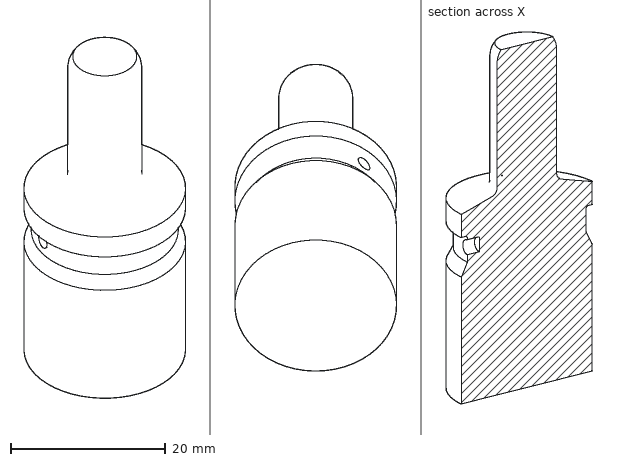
import cadquery as cq
import math

total_height = 47.7
body_radius = 10.5
body_height = 17.6
neck_radius = 9.55
neck_bottom = 19.45
neck_fillet = 0.3
collar_bottom = 23.05
collar_top = 26.3
shoulder_angle = math.radians(16)
shank_radius = 4.8
shoulder_fillet = 0.95
tip_radius = 4.15
tip_height = 1.75
dimple_diameter = 2.0
dimple_height = 21.5
dimple_depth = 1.9

fillet_center_r = shank_radius + shoulder_fillet
fillet_start_r = fillet_center_r - shoulder_fillet * math.sin(shoulder_angle)
fillet_start_z = collar_top + (body_radius - fillet_start_r) * math.tan(shoulder_angle)
fillet_center_z = fillet_start_z + shoulder_fillet * math.cos(shoulder_angle)


def turned_body():
    """Half profile in the XZ plane, revolved about Z."""
    mid_angle = (math.pi / 2 + shoulder_angle) / 2
    fillet_middle = (
        fillet_center_r - shoulder_fillet * math.sin(mid_angle),
        fillet_center_z - shoulder_fillet * math.cos(mid_angle),
    )
    profile = (
        cq.Workplane("XZ")
        .lineTo(body_radius, 0)
        .lineTo(body_radius, body_height)
        .lineTo(neck_radius, neck_bottom)
        .lineTo(neck_radius, collar_bottom - neck_fillet)
        .radiusArc((neck_radius + neck_fillet, collar_bottom), neck_fillet)
        .lineTo(body_radius, collar_bottom)
        .lineTo(body_radius, collar_top)
        .lineTo(fillet_start_r, fillet_start_z)
        .threePointArc(fillet_middle, (shank_radius, fillet_center_z))
        .lineTo(shank_radius, total_height - tip_height)
        .tangentArcPoint((tip_radius, total_height), relative=False)
        .lineTo(0, total_height)
        .close()
    )
    return profile.revolve(360, (0, 0, 0), (0, 1, 0))


def neck_dimple():
    """Blind round hole drilled into the -Y side of the neck."""
    return (
        cq.Workplane("XZ", origin=(0, dimple_depth - neck_radius, dimple_height))
        .circle(dimple_diameter / 2)
        .extrude(body_radius - neck_radius + dimple_depth)
    )


result = turned_body().cut(neck_dimple())